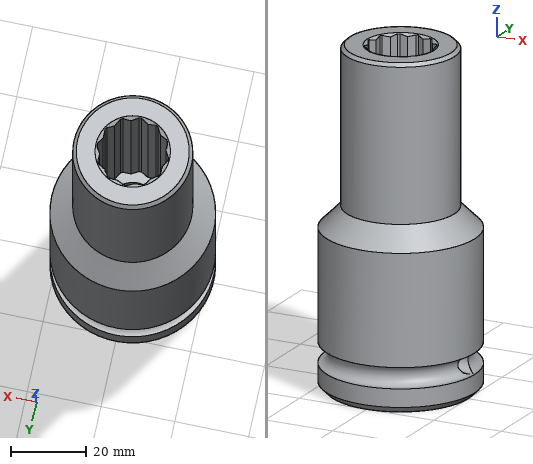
import cadquery as cq
import math

length = 96.0
body_radius = 22.0
neck_radius = 15.9

shoulder_base = 45.0
shoulder_top = shoulder_base + body_radius - neck_radius
base_chamfer = 1.9
mouth_edge_chamfer = 1.0
mouth_edge_height = 1.0

groove_height = 10.1
groove_radius = 3.0
groove_centre_radius = 21.7

bore_radius = 6.4
across_flats = 17.0
socket_depth = length - shoulder_top
tip_count = 12
tip_radius = across_flats / 2 / math.cos(math.radians(30))
valley_radius = across_flats / 2 / math.cos(math.radians(15))
tip_clip_radius = 9.6
lead_in_radius = 10.0
lead_in_angle = 30


def make_body():
    """Revolved outside shape with chamfered ends and a sloped shoulder."""
    profile = [
        (0, 0),
        (body_radius - base_chamfer, 0),
        (body_radius, base_chamfer),
        (body_radius, shoulder_base),
        (neck_radius, shoulder_top),
        (neck_radius, length - mouth_edge_height),
        (neck_radius - mouth_edge_chamfer, length),
        (0, length),
    ]
    return cq.Workplane("XZ").polyline(profile).close().revolve(360, (0, 0), (0, 1))


def make_groove():
    """Ring with a round bottom and short straight walls out to the body surface."""
    outside = body_radius + groove_radius
    low = groove_height - groove_radius
    high = groove_height + groove_radius
    return (
        cq.Workplane("XZ")
        .moveTo(outside, low)
        .lineTo(groove_centre_radius, low)
        .threePointArc((groove_centre_radius - groove_radius, groove_height), (groove_centre_radius, high))
        .lineTo(outside, high)
        .close()
        .revolve(360, (0, 0), (0, 1))
    )


def make_pin_hole():
    """Cross hole along X through both walls, level with the groove."""
    return (
        cq.Workplane("YZ")
        .center(0, groove_height)
        .circle(groove_radius)
        .extrude(body_radius, both=True)
    )


def make_socket():
    """Twelve-point star pocket, with its tips cut back to a common cylinder."""
    points = []
    for i in range(2 * tip_count):
        angle = math.pi * i / tip_count
        radius = tip_radius if i % 2 == 0 else valley_radius
        points.append((radius * math.cos(angle), radius * math.sin(angle)))
    floor = cq.Workplane("XY").workplane(offset=length - socket_depth)
    star = floor.polyline(points).close().extrude(socket_depth)
    tip_limit = floor.circle(tip_clip_radius).extrude(socket_depth)
    return star.intersect(tip_limit)


def make_lead_in():
    """Shallow cone that guides a fastener into the socket."""
    depth = lead_in_radius * math.tan(math.radians(lead_in_angle))
    return (
        cq.Workplane("XZ")
        .polyline([(0, length), (lead_in_radius, length), (0, length - depth)])
        .close()
        .revolve(360, (0, 0), (0, 1))
    )


bore = cq.Workplane("XY").circle(bore_radius).extrude(length)

result = (
    make_body()
    .cut(bore)
    .cut(make_groove())
    .cut(make_pin_hole())
    .cut(make_socket())
    .cut(make_lead_in())
)